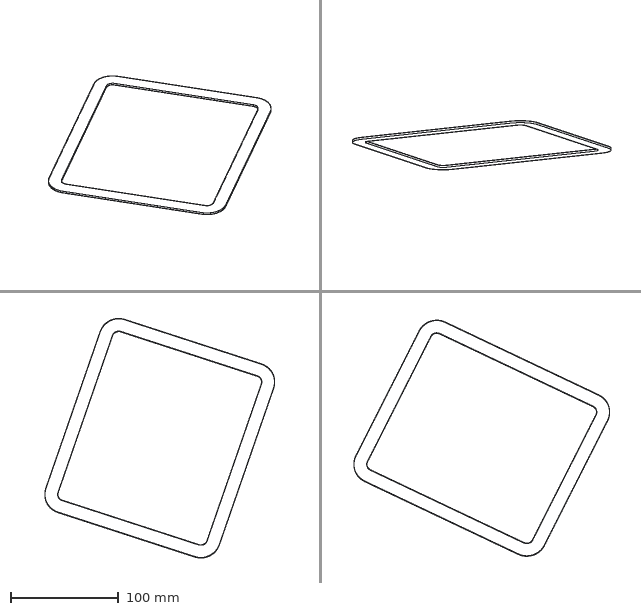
import cadquery as cq

width = 170.0
length = 195.0
thickness = 2.0
band = 12.0
outer_radius = 18.1
inner_radius = outer_radius - band


def rounded_plate(size_x, size_y, corner_radius):
    """Plate centred on the origin with rounded vertical edges."""
    plate = cq.Workplane("XY").box(size_x, size_y, thickness)
    return plate.edges("|Z").fillet(corner_radius)


outer_plate = rounded_plate(width, length, outer_radius)
opening = rounded_plate(width - 2 * band, length - 2 * band, inner_radius)

result = outer_plate.cut(opening)